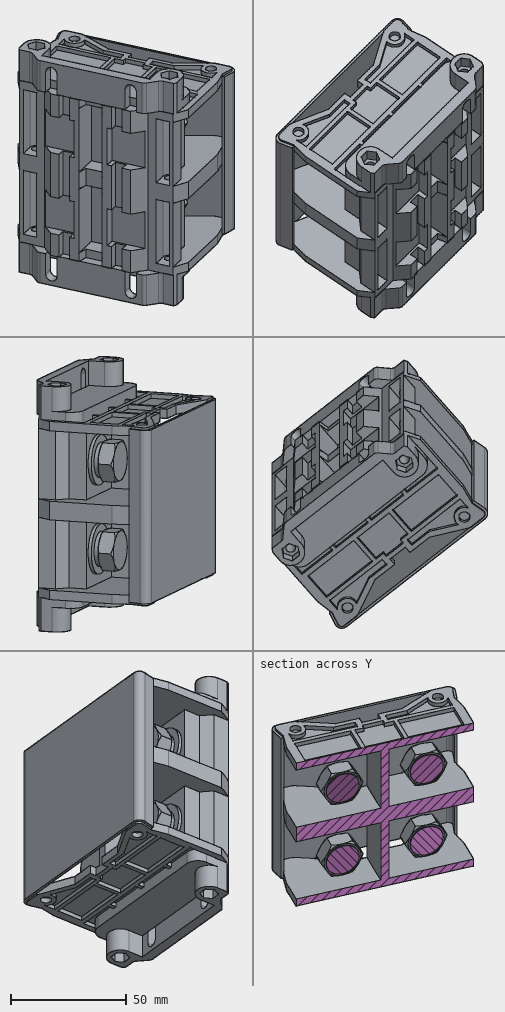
import cadquery as cq
import math


corner_x = 38.88
corner_y = 26.1
corner_radius = 2.05
cover_thickness = 1.2
cover_corner_radius = corner_radius + cover_thickness
side_lean = math.radians(14)

housing_half_height = 39.2
plate_thickness = 4.1
bay_bottom = plate_thickness
bay_top = housing_half_height - plate_thickness
bay_centre = (bay_bottom + bay_top) / 2

plate_half_width = 41.0
plate_back = corner_y + corner_radius
base_front = -23.7
base_half_width = 37.0
front_slope_start = -16.95
waist_y = 20.0
shoulder_y = 12.0
arm_outer_x = 32.0
arm_inner_x = 15.3
arm_inner_y = 20.2
notch_half_width = 4.3
notch_floor = 17.05

block_back = -3.2
block_half_width = 32.6
flare_half_width = base_half_width
flare_start = -11.3
flare_end = flare_start - (flare_half_width - block_half_width)
barrier_half_thickness = 2.0

rib_front = -29.35
ramp_base_x = 24.9
ramp_top_x = ramp_base_x - (base_front - rib_front)
side_groove_outer_x = 15.15
side_groove_inner_x = 10.1
side_groove_depth = 3.7
centre_groove_half_width = 5.6
bridge_half_width = 4.5
bridge_depth = 4.7
centre_groove_floor = -17.0
recess_width = 15.9
recess_height = 17.8
recess_centre_x = 15.95
recess_depth = 4.75

rod_x = 31.95
rod_y = -16.95
rod_hole_diameter = 4.3
window_width = 6.3

pocket_depth = 2.0
pocket_floor = housing_half_height - pocket_depth
wall = 1.9
pocket_half_width = 36.75
middle_row_bottom = 0.4
middle_row_top = 13.15
upper_row_bottom = middle_row_top + wall
upper_row_top = 18.15
upper_inner_x = 7.05
upper_bend_x = 17.1
upper_tip_x = 28.4
upper_tip_y = 23.6
boss_x = 32.85
boss_y = 22.65
boss_radius = 4.4
boss_hole_diameter = 4.8
boss_hole_depth = 2.4
centre_pocket_half_width = 9.0
lower_row_half_width = 38.2
lower_row_top = -1.9
lower_row_bottom = -15.9
lower_divider_x = 20.0

flange_end = 54.0
flange_floor_top = 43.15
flange_back = -4.85
flange_back_radius = 6.0
flange_front = -28.95
flange_wall_inner = -24.25
flange_foot = -23.5
flange_front_half_width = 25.6
flange_bend_radius = 2.6
rod_boss_radius = 6.05
flange_half_width = rod_x + rod_boss_radius
hex_across_flats = 7.0
hex_depth = 6.0
slot_x = 19.1
slot_width = 5.4
slot_top = 51.8

cover_end_gap = 1.0
cover_half_height = housing_half_height - cover_end_gap
cover_back = corner_y + cover_corner_radius
cover_leg_tip_y = 19.7

bolt_x = 19.4
washer_diameter = 22.0
washer_thickness = 1.5
spring_washer_diameter = 15.4
spring_washer_thickness = 2.1
head_across_flats = 17.0
head_thickness = 7.15
head_chamfer_angle = math.radians(30)


def prism(points, bottom, top):
    """Straight prism along Z over a closed XY outline."""
    return cq.Workplane("XY").workplane(offset=bottom).polyline(points).close().extrude(top - bottom)


def mirrored(half_outline):
    """Close a +X half outline, running from back to front, with its -X mirror image."""
    return half_outline + [(-x, y) for x, y in reversed(half_outline)]


def box(x_range, y_range, z_range):
    """Axis-aligned box between pairs of limits."""
    limits = (x_range, y_range, z_range)
    sizes = [high - low for low, high in limits]
    lows = [low for low, high in limits]
    return cq.Workplane("XY").box(*sizes, centered=False).translate(tuple(lows))


def cylinder(x, y, radius, bottom, top):
    """Cylinder along Z."""
    return cq.Workplane("XY").workplane(offset=bottom).center(x, y).circle(radius).extrude(top - bottom)


def both_sides(solid):
    """A shape at +X together with its mirror image at -X."""
    return solid.union(solid.mirror("YZ"))


def both_ends(solid):
    """A shape at +Z together with its mirror image at -Z."""
    return solid.union(solid.mirror("XY"))


def leaning_side_x(y, radius):
    """Half width at y of the leaning side that is tangent to a corner of the given radius."""
    return corner_x + (radius + (y - corner_y) * math.sin(side_lean)) / math.cos(side_lean)


def fillet_upright_edges(solid, corners, radius):
    """Round the edges along Z at the given +X corners and at their -X mirror images."""
    margin = 0.1
    box_size = solid.val().BoundingBox()
    picked = None
    for x, y in corners + [(-x, y) for x, y in corners]:
        edge = cq.selectors.BoxSelector(
            (x - margin, y - margin, box_size.zmin - margin),
            (x + margin, y + margin, box_size.zmax + margin), boundingbox=True)
        picked = edge if picked is None else picked + edge
    return solid.edges(picked).fillet(radius)


def plate(bottom, top):
    """One full plate: flared corners at the back, two arms and a central notch, tapered front."""
    corner = (leaning_side_x(plate_back, corner_radius), plate_back)
    outline = mirrored([
        (notch_half_width, notch_floor),
        (notch_half_width, arm_inner_y),
        (arm_inner_x, arm_inner_y),
        (arm_outer_x, plate_back),
        corner,
        (leaning_side_x(waist_y, corner_radius), waist_y),
        (plate_half_width, shoulder_y),
        (plate_half_width, front_slope_start),
        (base_half_width, base_front),
    ])
    return fillet_upright_edges(prism(outline, bottom, top), [corner], corner_radius)


def bolt_block():
    """Block running through both bays, with a flared foot and the barrier between the poles."""
    outline = mirrored([
        (barrier_half_thickness, notch_floor),
        (barrier_half_thickness, block_back),
        (block_half_width, block_back),
        (block_half_width, flare_start),
        (flare_half_width, flare_end),
        (flare_half_width, base_front),
    ])
    return prism(outline, -bay_top, bay_top)


def mounting_ribs():
    """Ribbed mounting face, constant along the full height."""
    groove_floor = rib_front + side_groove_depth
    bridge_face = rib_front + bridge_depth
    outline = mirrored([
        (ramp_base_x, base_front),
        (ramp_top_x, rib_front),
        (side_groove_outer_x, rib_front),
        (side_groove_outer_x, groove_floor),
        (side_groove_inner_x, groove_floor),
        (side_groove_inner_x, rib_front),
        (centre_groove_half_width, rib_front),
        (bridge_half_width, bridge_face),
    ])
    return prism(outline, -housing_half_height, housing_half_height)


def bay_front_cuts():
    """Cuts in the mounting face at the upper bay: centre groove, square recesses, rod windows."""
    bay = (bay_bottom, bay_top)
    groove = box(
        (-centre_groove_half_width, centre_groove_half_width), (rib_front, centre_groove_floor), bay)
    recess = box(
        (recess_centre_x - recess_width / 2, recess_centre_x + recess_width / 2),
        (rib_front, rib_front + recess_depth),
        (bay_centre - recess_height / 2, bay_centre + recess_height / 2))
    window = box((rod_x - window_width / 2, rod_x + window_width / 2), (base_front, rod_y), bay)
    window = window.union(cylinder(rod_x, rod_y, window_width / 2, *bay))
    return groove.union(both_sides(recess.union(window)))


def end_pockets():
    """Shallow pockets in the +Z end plate."""
    z_range = (pocket_floor, housing_half_height)
    upper = prism([
        (upper_inner_x, upper_row_bottom),
        (upper_inner_x, upper_row_top),
        (upper_bend_x, upper_row_top),
        (upper_tip_x, upper_tip_y),
        (pocket_half_width, upper_tip_y),
        (pocket_half_width, upper_row_bottom),
    ], *z_range)
    upper = upper.cut(cylinder(boss_x, boss_y, boss_radius, *z_range))
    behind_boss = box((boss_x, plate_half_width), (boss_y - boss_radius / 2, plate_back), z_range)
    upper = upper.cut(behind_boss)
    boss_hole = cylinder(
        boss_x, boss_y, boss_hole_diameter / 2, housing_half_height - boss_hole_depth, housing_half_height)
    middle = box(
        (centre_pocket_half_width + wall, pocket_half_width), (middle_row_bottom, middle_row_top), z_range)
    lower_range = (lower_row_bottom, lower_row_top)
    lower_inner = box((wall / 2, lower_divider_x - wall / 2), lower_range, z_range)
    lower_outer = box((lower_divider_x + wall / 2, lower_row_half_width), lower_range, z_range)
    lower = lower_inner.union(lower_outer).cut(flange_outline(*z_range))
    pockets = both_sides(upper.union(boss_hole).union(middle).union(lower))

    centre = box(
        (-centre_pocket_half_width, centre_pocket_half_width), (middle_row_bottom, middle_row_top), z_range)
    centre_tab = box(
        (-notch_half_width - wall / 4, notch_half_width + wall / 4),
        (middle_row_top, upper_row_bottom), z_range)
    return pockets.union(centre).union(centre_tab)


def flange_outline(bottom, top):
    """Solid block over the flange footprint, with rounded back corners and front bends."""
    side_slope = (base_front - front_slope_start) / (base_half_width - plate_half_width)
    foot_x = base_half_width + (flange_foot - base_front) / side_slope
    side_front = flange_foot + side_slope * (flange_half_width - foot_x)
    bend_x = flange_front_half_width + (flange_foot - flange_front)
    block = prism(mirrored([
        (flange_half_width, flange_back),
        (flange_half_width, side_front),
        (foot_x, flange_foot),
        (bend_x, flange_foot),
        (flange_front_half_width, flange_front),
    ]), bottom, top)

    block = fillet_upright_edges(block, [(flange_half_width, flange_back)], flange_back_radius)
    bends = [(bend_x, flange_foot), (flange_front_half_width, flange_front)]
    return fillet_upright_edges(block, bends, flange_bend_radius)


def flange():
    """Mounting flange on the +Z end: floor, front wall with two slots and two rod bosses."""
    body = flange_outline(housing_half_height, flange_end)

    boss_inner_x = rod_x - rod_boss_radius
    raised = (flange_floor_top, flange_end)
    hollow = box((-plate_half_width, plate_half_width), (rod_y, plate_back), raised)
    hollow = hollow.union(box((-boss_inner_x, boss_inner_x), (flange_wall_inner, rod_y), raised))
    hollow = hollow.cut(both_sides(cylinder(rod_x, rod_y, rod_boss_radius, *raised)))
    body = body.cut(hollow)

    slot_centre_z = slot_top - slot_width / 2
    slot = box(
        (slot_x - slot_width / 2, slot_x + slot_width / 2),
        (flange_front, flange_wall_inner),
        (housing_half_height, slot_centre_z))
    slot_round = (
        cq.Workplane("XZ", origin=(slot_x, flange_wall_inner, slot_centre_z))
        .circle(slot_width / 2)
        .extrude(flange_wall_inner - flange_front)
    )
    hex_pocket = (
        cq.Workplane("XY", origin=(rod_x, rod_y, flange_end - hex_depth))
        .polygon(6, hex_across_flats / math.cos(math.pi / 6))
        .extrude(hex_depth)
    )
    return body.cut(both_sides(slot.union(slot_round).union(hex_pocket)))


def cover():
    """Thin cover that clips around the back corners of the plates."""
    outer_corner = (leaning_side_x(cover_back, cover_corner_radius), cover_back)
    inner_corner = (leaning_side_x(plate_back, corner_radius), plate_back)
    profile = mirrored([
        outer_corner,
        (leaning_side_x(cover_leg_tip_y, cover_corner_radius), cover_leg_tip_y),
        (leaning_side_x(cover_leg_tip_y, corner_radius), cover_leg_tip_y),
        inner_corner,
    ])
    shell = prism(profile, -cover_half_height, cover_half_height)
    shell = fillet_upright_edges(shell, [outer_corner], cover_corner_radius)
    return fillet_upright_edges(shell, [inner_corner], corner_radius)


def make_housing():
    """Housing with its cover and flanges."""
    body = plate(-plate_thickness, plate_thickness)
    body = body.union(both_ends(plate(bay_top, housing_half_height).cut(end_pockets())))
    body = body.union(bolt_block()).union(mounting_ribs())
    body = body.cut(both_ends(bay_front_cuts()))
    body = body.union(both_ends(flange())).union(cover())
    rod_hole = cylinder(rod_x, rod_y, rod_hole_diameter / 2, -flange_end, flange_end)
    return body.cut(both_sides(rod_hole))


def make_bolt(x, z):
    """Hexagon bolt head on a spring washer and a flat washer, seated on the block."""
    spring_seat = washer_thickness
    head_seat = spring_seat + spring_washer_thickness
    head_top = head_seat + head_thickness
    head_corner_radius = head_across_flats / 2 / math.cos(math.pi / 6)
    chamfer_width = head_corner_radius - head_across_flats / 2
    chamfer_height = chamfer_width * math.tan(head_chamfer_angle)

    washers = cq.Workplane("XY").circle(washer_diameter / 2).extrude(washer_thickness)
    washers = washers.union(cylinder(0, 0, spring_washer_diameter / 2, spring_seat, head_seat))
    head = (
        cq.Workplane("XY").workplane(offset=head_seat)
        .polygon(6, 2 * head_corner_radius)
        .extrude(head_thickness)
    )
    rounded = cylinder(0, 0, head_corner_radius, head_seat, head_top)
    rounded = rounded.faces("<Z or >Z").chamfer(chamfer_height, chamfer_width)
    bolt = washers.union(head.intersect(rounded))
    return bolt.rotate((0, 0, 0), (1, 0, 0), -90).translate((x, block_back, z))


housing = make_housing()
bolts = [
    make_bolt(x_side * bolt_x, z_side * bay_centre)
    for x_side in (-1, 1)
    for z_side in (-1, 1)
]

result = cq.Compound.makeCompound([housing.val()] + [bolt.val() for bolt in bolts])